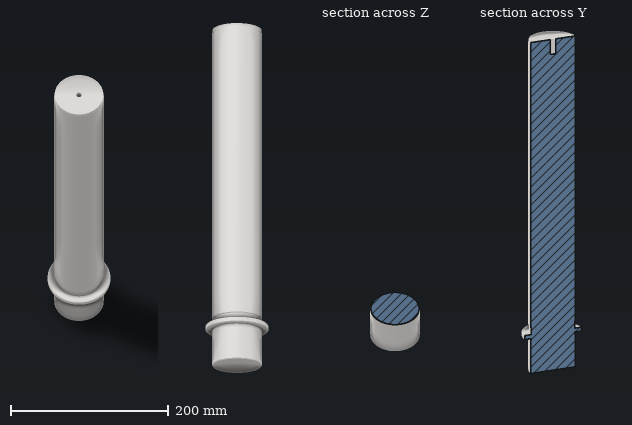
import cadquery as cq

TOTAL_LENGTH = 447.0
BODY_DIAMETER = 63.0
FLANGE_DIAMETER = 80.0
FLANGE_THICKNESS = 6.0
FLANGE_CHAMFER = 0.8
SHANK_LENGTH = 47.0
SHANK_CHAMFER = 1.0
LOWER_RELIEF_DIAMETER = 62.0
LOWER_RELIEF_LENGTH = 1.5
NECK_DIAMETER = 61.0
NECK_LENGTH = 8.5
BODY_LOWER_CHAMFER = 1.0
LEAD_IN_HEIGHT = 3.5
LEAD_IN_WIDTH = 0.5
CENTRE_HOLE_DIAMETER = 6.5
CENTRE_HOLE_DEPTH = 20.0
COUNTERSINK_DIAMETER = 8.5

flange_bottom = SHANK_LENGTH
flange_top = flange_bottom + FLANGE_THICKNESS
neck_top = flange_top + NECK_LENGTH


def cylinder(diameter, bottom, top):
    """Round section of the pin between two heights."""
    return cq.Workplane("XY").workplane(offset=bottom).circle(diameter / 2).extrude(top - bottom)


def make_shank():
    """Fitted end with a chamfered lower rim and a relief under the flange."""
    relief_bottom = flange_bottom - LOWER_RELIEF_LENGTH
    shank = cylinder(BODY_DIAMETER, 0, relief_bottom).faces("<Z").chamfer(SHANK_CHAMFER)
    return shank.union(cylinder(LOWER_RELIEF_DIAMETER, relief_bottom, flange_bottom))


def make_flange():
    """Locating flange with both rims chamfered."""
    return cylinder(FLANGE_DIAMETER, flange_bottom, flange_top).faces("<Z or >Z").chamfer(FLANGE_CHAMFER)


def make_guide():
    """Neck and long guide body with a chamfered lower rim and a steep lead-in at the top."""
    neck = cylinder(NECK_DIAMETER, flange_top, neck_top)
    body = cylinder(BODY_DIAMETER, neck_top, TOTAL_LENGTH).faces("<Z").chamfer(BODY_LOWER_CHAMFER)
    body = body.faces(">Z").chamfer(LEAD_IN_HEIGHT, LEAD_IN_WIDTH)
    return neck.union(body)


def drill_centre_hole(pin):
    """Blind hole in the upper end face with a countersunk mouth."""
    countersink_depth = (COUNTERSINK_DIAMETER - CENTRE_HOLE_DIAMETER) / 2
    hole = cylinder(CENTRE_HOLE_DIAMETER, TOTAL_LENGTH - CENTRE_HOLE_DEPTH, TOTAL_LENGTH)
    mouth = cylinder(COUNTERSINK_DIAMETER, TOTAL_LENGTH - 2 * countersink_depth, TOTAL_LENGTH)
    mouth = mouth.faces("<Z").chamfer(countersink_depth)
    return pin.cut(hole).cut(mouth.translate((0, 0, countersink_depth)))


result = drill_centre_hole(make_shank().union(make_flange()).union(make_guide()))